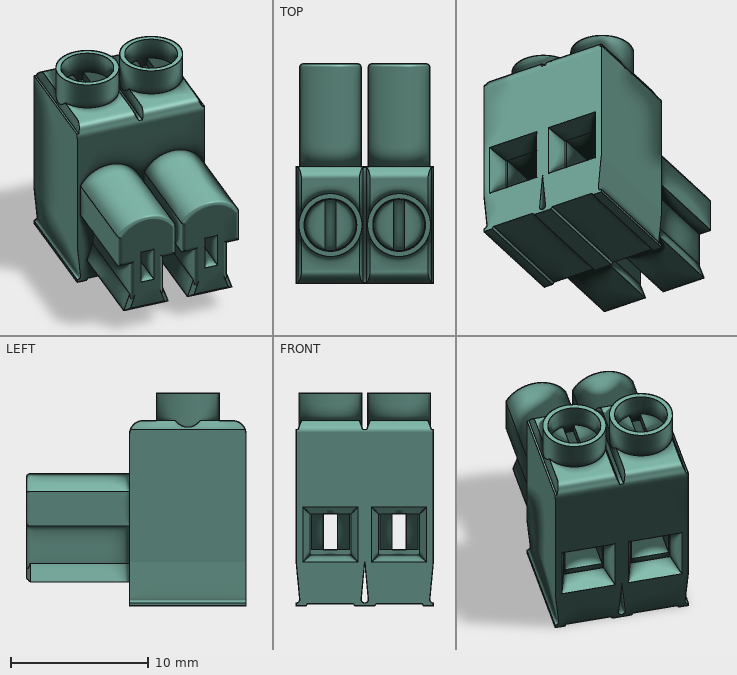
import cadquery as cq


pole_count = 2
width = 10.0
housing_depth = 8.5
housing_top = 13.5
top_round = 1.0
pitch = width / pole_count
pole_places = [(i - (pole_count - 1) / 2) * pitch for i in range(pole_count)]
boundary_places = [(i - pole_count / 2) * pitch for i in range(pole_count + 1)]

groove_floor = 12.86
groove_floor_half = 0.15
groove_top_half = 0.4

slit_top = 3.2
slit_round_radius = 0.25
slit_round_height = 0.48

recess_height = 0.16
recess_bottom_half = 1.8
recess_top_half = 1.66

tower_diameter = 4.6
tower_top = 15.5
bore_top_diameter = 3.84
bore_floor_diameter = 3.71
bore_depth = 1.6
screw_slot_width = 0.8
screw_slot_depth = 0.64
tower_y = housing_depth / 2

entry_size = 4
entry_bottom = 3.2
entry_inner_size = 3.0
entry_depth = 1.5
cavity_width = 2.78
cavity_floor = 4.11
cavity_rear_wall = 1.5
contact_slot_width = 1.0
entry_mid_height = entry_bottom + entry_size / 2
cavity_end = housing_depth - cavity_rear_wall
cavity_top = entry_mid_height + entry_inner_size / 2

plug_end = 16
plug_width = 4.5
plug_half = plug_width / 2
plug_top = 9.65
plug_arc_spring = 8.34
plug_ledge = 5.8
plug_stem_half = 1.28
plug_flare_start = 3.1
plug_foot_half = 1.75
plug_bottom = 1.75
plug_end_ease = 0.29


def box_between(x_mid, x_size, y_start, y_end, z_start, z_end):
    size = (x_size, y_end - y_start, z_end - z_start)
    return cq.Workplane("XY").box(*size, centered=(True, False, False)).translate((x_mid, y_start, z_start))


def along_y(y_start):
    """Sketch plane with local x = X and local y = Z; extrude a negative length to go toward +Y."""
    return cq.Workplane("XZ", origin=(0, y_start, 0))


def housing():
    block = box_between(0, width, 0, housing_depth, 0, housing_top)
    return block.faces(">Z").edges("|X").fillet(top_round)


def top_groove(x):
    outline = [
        (x - groove_top_half, housing_top),
        (x - groove_floor_half, groove_floor),
        (x + groove_floor_half, groove_floor),
        (x + groove_top_half, housing_top),
    ]
    return along_y(0).polyline(outline).close().extrude(-housing_depth)


def boundary_slit(x):
    outline = [
        (x, slit_top),
        (x - slit_round_radius, slit_round_height),
        (x + slit_round_radius, slit_round_height),
    ]
    taper = along_y(0).polyline(outline).close().extrude(-housing_depth)
    round_end = along_y(0).center(x, slit_round_height).circle(slit_round_radius).extrude(-housing_depth)
    return taper.union(round_end)


def underside_recess(x):
    outline = [
        (x - recess_bottom_half, 0),
        (x - recess_top_half, recess_height),
        (x + recess_top_half, recess_height),
        (x + recess_bottom_half, 0),
    ]
    return along_y(0).polyline(outline).close().extrude(-housing_depth)


def tower(x):
    base = cq.Workplane("XY", origin=(x, tower_y, groove_floor))
    return base.circle(tower_diameter / 2).extrude(tower_top - groove_floor)


def tower_bore(x):
    floor = tower_top - bore_depth
    bore = (
        cq.Workplane("XY", origin=(x, tower_y, floor))
        .circle(bore_floor_diameter / 2)
        .workplane(offset=bore_depth)
        .circle(bore_top_diameter / 2)
        .loft()
    )
    screw = cq.Workplane("XY", origin=(x, tower_y, floor - screw_slot_depth))
    screw_head = screw.circle(bore_floor_diameter / 2).extrude(screw_slot_depth)
    slot = screw.rect(screw_slot_width, bore_floor_diameter).extrude(screw_slot_depth).intersect(screw_head)
    return bore.union(slot)


def wire_entry(x):
    funnel = (
        along_y(0)
        .center(x, entry_mid_height)
        .rect(entry_size, entry_size)
        .workplane(offset=-entry_depth)
        .rect(entry_inner_size, entry_inner_size)
        .loft()
    )
    cavity = box_between(x, cavity_width, entry_depth, cavity_end, cavity_floor, cavity_top)
    contact_slot = box_between(x, contact_slot_width, cavity_end, plug_end, cavity_floor, cavity_top)
    return funnel.union(cavity).union(contact_slot)


def end_zone(x, z_start, z_end):
    """Selects edges at the free end of the plug at x whose centres lie between two heights."""
    y_start = plug_end - plug_end_ease / 2
    y_end = plug_end + plug_end_ease / 2
    return cq.selectors.BoxSelector((x - pitch / 2, y_start, z_start), (x + pitch / 2, y_end, z_end))


def plug(x):
    body = (
        along_y(housing_depth)
        .moveTo(x - plug_foot_half, plug_bottom)
        .lineTo(x - plug_stem_half, plug_flare_start)
        .lineTo(x - plug_stem_half, plug_ledge)
        .lineTo(x - plug_half, plug_ledge)
        .lineTo(x - plug_half, plug_arc_spring)
        .threePointArc((x, plug_top), (x + plug_half, plug_arc_spring))
        .lineTo(x + plug_half, plug_ledge)
        .lineTo(x + plug_stem_half, plug_ledge)
        .lineTo(x + plug_stem_half, plug_flare_start)
        .lineTo(x + plug_foot_half, plug_bottom)
        .close()
        .extrude(housing_depth - plug_end)
    )
    body = body.faces(">Y").edges(end_zone(x, 0, plug_flare_start)).chamfer(plug_end_ease)
    return body.faces(">Y").edges(end_zone(x, plug_flare_start, housing_top)).fillet(plug_end_ease)


result = housing()
for x in boundary_places:
    result = result.cut(top_groove(x)).cut(boundary_slit(x))
for x in pole_places:
    result = result.union(tower(x)).union(plug(x))
for x in pole_places:
    result = result.cut(tower_bore(x)).cut(wire_entry(x)).cut(underside_recess(x))